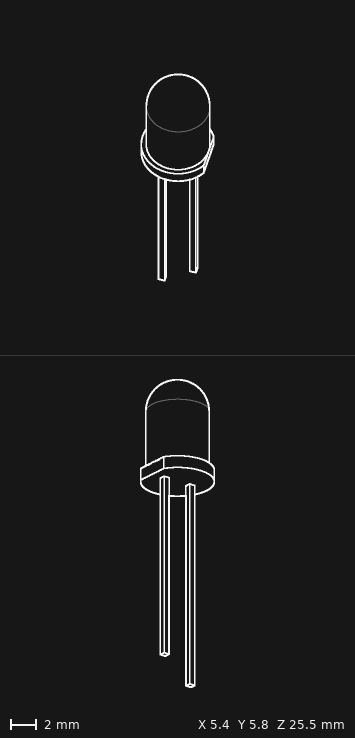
import cadquery as cq

total_height = 25.5
body_radius = 2.5
body_height = 5.0
flange_diameter = 5.8
flange_height = 1.0
lead_width = 0.5
lead_spacing = 2.55
lead_difference = 2.0

flange_radius = flange_diameter / 2
dome_base = flange_height + body_height
dome_top = dome_base + body_radius
long_lead_length = total_height - dome_top
short_lead_length = long_lead_length - lead_difference


def make_lens():
    """Cylinder with a hemispherical top, revolved about Z."""
    arc_middle = body_radius * 0.5 ** 0.5
    return (
        cq.Workplane("XZ")
        .lineTo(body_radius, 0)
        .lineTo(body_radius, dome_base)
        .threePointArc((arc_middle, dome_base + arc_middle), (0, dome_top))
        .close()
        .revolve(360, (0, 0, 0), (0, 1, 0))
    )


def make_flange():
    """Disc cut flat on +X, level with the side of the lens."""
    disc = cq.Workplane("XY").circle(flange_radius).extrude(flange_height)
    kept_width = flange_radius + body_radius
    kept_region = (
        cq.Workplane("XY")
        .center(body_radius - kept_width / 2, 0)
        .rect(kept_width, flange_diameter)
        .extrude(flange_height)
    )
    return disc.intersect(kept_region)


def make_lead(x, length):
    """Square lead hanging from the underside of the flange."""
    return cq.Workplane("XY").center(x, 0).rect(lead_width, lead_width).extrude(-length)


result = (
    make_flange()
    .union(make_lens())
    .union(make_lead(-lead_spacing / 2, long_lead_length))
    .union(make_lead(lead_spacing / 2, short_lead_length))
)